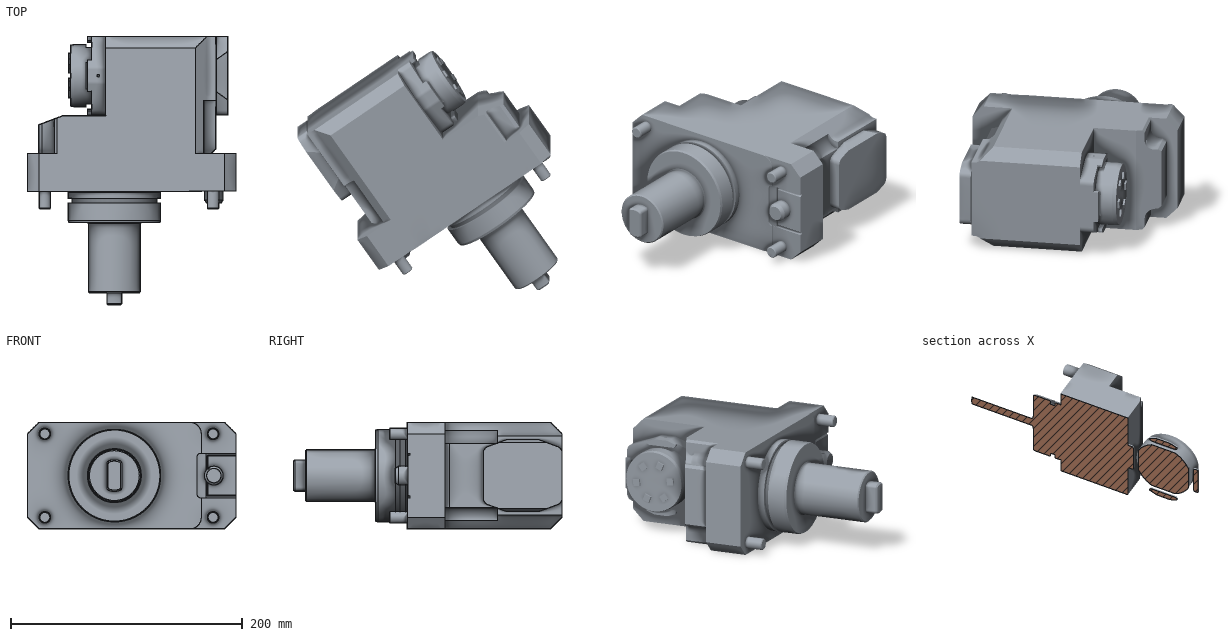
import cadquery as cq
import math


PLATE_LEFT = -75.0
PLATE_RIGHT = 105.0
PLATE_HEIGHT = 92.0
PLATE_THICKNESS = 33.0
PLATE_CORNER = 10.0
HALF_HEIGHT = PLATE_HEIGHT / 2
PAD_RIGHT = 75.0
PAD_CORNER_RADIUS = 10.0
PAD_STEP = 0.5

PIN_DIAMETER = 10.0
PIN_X = (-60.0, 85.2)
PIN_Z = 36.0
PIN_LENGTH = 15.0
PIN_CHAMFER = 0.7

POCKET_LEFT = 79.2
POCKET_HALF_HEIGHT = 19.2
POCKET_DEPTH = 3.0
LEDGE_LEFT = 71.4
LEDGE_DEPTH = 1.0
LEDGE_RADIUS = 3.0
INSERT_GAP = 1.4
INSERT_END_GAP = 0.7
INSERT_CORNER_RADIUS = 1.5
INSERT_CHAMFER = 0.9
PLUG_DIAMETER = 16.2
PLUG_TIP_DIAMETER = 12.4
PLUG_X = 85.8
PLUG_CONE_Y = -7.2
PLUG_END_Y = -10.0
PLUG_SLIT_ANGLE = 125.0
PLUG_SLIT_WIDTH = 1.2
PLUG_SLIT_DEPTH = 0.6

COLLAR_DIAMETER = 80.0
COLLAR_RIM_DIAMETER = 79.6
COLLAR_RIM = 1.0
COLLAR_LENGTH = 26.8
COLLAR_CHAMFER_LENGTH = 2.0
COLLAR_CHAMFER_DEPTH = 0.7
GROOVE_DIAMETER = 73.6
GROOVE_START = 5.8
GROOVE_END = 9.7
SHANK_DIAMETER = 45.0
SHANK_END = 87.3
SHANK_CHAMFER = 1.0
ROOT_DIAMETER = 46.6
ROOT_LENGTH = 0.7

TANG_WIDTH = 13.0
TANG_LENGTH = 27.3
TANG_END = 97.8
TANG_CORNER_RADIUS = 2.8
TANG_CHAMFER = 1.2

HOUSING_BACK = 134.0
HOUSING_LEFT = -7.5
HOUSING_RIGHT = 87.5
HOUSING_CHAMFER = 10.0
SIDE_SLOPE_ANGLE = 45.0
SIDE_SLOPE_START = 70.0
SHELF_Z = 34.0
SHELF_FILLET = 7.0
HEEL_CHAMFER = 3.7
FOOT_LEFT = -65.4
FOOT_TOP = 65.6
FOOT_SLOPE_START = -44.2
FOOT_SLOPE_END = 57.6
FOOT_CORE_HALF = 27.5
FOOT_CORE_BEVEL_X = 3.0
FOOT_CORE_BEVEL_Z = 2.2
CLEARANCE_RADIUS = 8.5
FOOT_TOP_BEVEL = 2.0
CLEARANCE_END = 78.4
SPOT_FACE_DIAMETER = 6.37
SPOT_FACE_Y = 58.0

SPINDLE_Y = 100.0
FLANGE_FACE = -19.6
FLANGE_REACH = HOUSING_BACK - SPINDLE_Y
FLANGE_TOP_HALF = 6.4
FLANGE_TOP_Z = 33.8
FLANGE_CORNER_Z = 23.6
FLANGE_FILLET = 6.0
FLANGE_TOP_FILLET = 5.7
LUG_FACE = -23.3
LUG_COUNT = 4
LUG_HALF_WIDTH = 13.6
SIDE_LUG_INNER = 28.8
TOP_LUG_INNER = 28.2
LUG_CHAMFER = 1.5
NOSE_DIAMETER = 54.0
NOSE_TIP_DIAMETER = 52.6
SLOT_FACE = -24.4
SLOT_FLOOR = 24.5
SLOT_HALF_WIDTH = 13.8
NOSE_TAPER_START = -34.4
NOSE_FACE = -37.8
KEY_COUNT = 6
KEY_SIZE = 6.0
KEY_RADIUS = 16.2
KEY_ANGLE = 8.0
KEY_HEIGHT = 1.6
SET_HOLE_DIAMETER = 2.1
SET_HOLE_X = -13.9
SET_HOLE_DEPTH = 3.0

COVER_NECK = 0.6
COVER_FACE = 98.0
COVER_FACET_INNER_Z = 31.0
COVER_FACET_OUTER_Z = 28.4

FULL_TURN = 360.0
OVERLAP = 1.0


def box(x0, x1, y0, y1, z0, z1):
    return cq.Workplane("XY").box(x1 - x0, y1 - y0, z1 - z0, centered=False).translate((x0, y0, z0))


def section_along_y(y):
    """Sketch plane with local axes X and Z; a negative extrusion runs toward +Y."""
    return cq.Workplane("XZ", origin=(0, y, 0))


def section_along_x(x):
    """Sketch plane centred on the spindle axis with local axes Y and Z."""
    return cq.Workplane("YZ", origin=(x, SPINDLE_Y, 0))


def revolve_about_y(profile):
    """Revolve (radius, y) points about the shank axis."""
    return cq.Workplane("XY").polyline(profile).close().revolve(FULL_TURN, (0, 0, 0), (0, 1, 0))


def make_plate():
    plate = box(PLATE_LEFT, PLATE_RIGHT, 0, PLATE_THICKNESS, -HALF_HEIGHT, HALF_HEIGHT)
    plate = plate.edges("|Y").chamfer(PLATE_CORNER)
    pad = box(PLATE_LEFT, PAD_RIGHT, 0, PAD_STEP, -HALF_HEIGHT, HALF_HEIGHT)
    pad = pad.edges("|Y and >X").fillet(PAD_CORNER_RADIUS)
    relief = box(PLATE_LEFT, PLATE_RIGHT, 0, PAD_STEP, -HALF_HEIGHT, HALF_HEIGHT).cut(pad)
    return plate.cut(relief)


def cut_connection_pocket(body):
    half = POCKET_HALF_HEIGHT
    ledge = box(LEDGE_LEFT, PLATE_RIGHT, 0, LEDGE_DEPTH, -half, half)
    ledge = ledge.edges("|Y and <X").fillet(LEDGE_RADIUS)
    pocket = box(POCKET_LEFT, PLATE_RIGHT, 0, POCKET_DEPTH, -half, half)
    insert_half = half - INSERT_GAP
    insert = box(POCKET_LEFT + INSERT_END_GAP, PLATE_RIGHT, LEDGE_DEPTH, POCKET_DEPTH + OVERLAP,
                 -insert_half, insert_half)
    insert = insert.edges("|Y and <X").fillet(INSERT_CORNER_RADIUS)
    insert = insert.faces("<Y").edges("not >X").chamfer(INSERT_CHAMFER)
    return body.cut(ledge).cut(pocket).union(insert)


def make_plug():
    radius = PLUG_DIAMETER / 2
    tip_radius = PLUG_TIP_DIAMETER / 2
    root = POCKET_DEPTH + OVERLAP
    profile = [(0, root), (radius, root), (radius, PLUG_CONE_Y), (tip_radius, PLUG_END_Y), (0, PLUG_END_Y)]
    slit = (
        section_along_y(0)
        .polarArray(radius, PLUG_SLIT_ANGLE, FULL_TURN, 1)
        .rect(2 * PLUG_SLIT_DEPTH, PLUG_SLIT_WIDTH)
        .extrude(-PLUG_CONE_Y)
    )
    return revolve_about_y(profile).cut(slit).translate((PLUG_X, 0, 0))


def make_pin(x, z):
    pin = section_along_y(-PIN_LENGTH).circle(PIN_DIAMETER / 2).extrude(-PIN_LENGTH - OVERLAP)
    return pin.faces("<Y").chamfer(PIN_CHAMFER).translate((x, 0, z))


def make_shank():
    collar = COLLAR_DIAMETER / 2
    rim = COLLAR_RIM_DIAMETER / 2
    groove = GROOVE_DIAMETER / 2
    shank = SHANK_DIAMETER / 2
    root = ROOT_DIAMETER / 2
    return revolve_about_y([
        (0, OVERLAP),
        (rim, OVERLAP),
        (rim, -COLLAR_RIM),
        (collar, -COLLAR_RIM),
        (collar, -GROOVE_START),
        (groove, -GROOVE_START),
        (groove, -GROOVE_END),
        (collar, -GROOVE_END),
        (collar, -COLLAR_LENGTH + COLLAR_CHAMFER_LENGTH),
        (collar - COLLAR_CHAMFER_DEPTH, -COLLAR_LENGTH),
        (root, -COLLAR_LENGTH),
        (shank, -COLLAR_LENGTH - ROOT_LENGTH),
        (shank, -SHANK_END + SHANK_CHAMFER),
        (shank - SHANK_CHAMFER, -SHANK_END),
        (0, -SHANK_END),
    ])


def make_tang():
    length = TANG_END - SHANK_END + OVERLAP
    half_width = TANG_WIDTH / 2
    round_end = section_along_y(-TANG_END).circle(TANG_LENGTH / 2).extrude(-length)
    flats = box(-half_width, half_width, -TANG_END, -TANG_END + length, -TANG_LENGTH, TANG_LENGTH)
    tang = round_end.intersect(flats).edges("|Y").fillet(TANG_CORNER_RADIUS)
    return tang.faces("<Y").chamfer(TANG_CHAMFER)


def housing_plan():
    """Housing outline seen along Z, extruded over the full height."""
    outline = [
        (FOOT_LEFT, PLATE_THICKNESS - OVERLAP),
        (HOUSING_RIGHT - HEEL_CHAMFER, PLATE_THICKNESS - OVERLAP),
        (HOUSING_RIGHT - HEEL_CHAMFER, PLATE_THICKNESS),
        (HOUSING_RIGHT, PLATE_THICKNESS + HEEL_CHAMFER),
        (HOUSING_RIGHT, HOUSING_BACK),
        (HOUSING_LEFT, HOUSING_BACK),
        (HOUSING_LEFT, FOOT_TOP),
        (FOOT_SLOPE_START, FOOT_TOP),
        (FOOT_LEFT, FOOT_SLOPE_END),
    ]
    plan = cq.Workplane("XY", origin=(0, 0, -HALF_HEIGHT)).polyline(outline).close().extrude(PLATE_HEIGHT)
    return plan.edges("|X and >Y").chamfer(HOUSING_CHAMFER)


def housing_upper_section():
    """Half of the section across Y: side slope and shelf at right, pin clearance at left."""
    turn = math.radians(SIDE_SLOPE_ANGLE)
    slope_end = SIDE_SLOPE_START + (HALF_HEIGHT - SHELF_Z) / math.tan(turn)
    tangent = SHELF_FILLET * math.tan(turn / 2)
    fillet_start = (slope_end - tangent * math.cos(turn), SHELF_Z + tangent * math.sin(turn))
    sag_x = SHELF_FILLET * math.sin(turn / 2)
    sag_z = SHELF_FILLET * (1 - math.cos(turn / 2))
    fillet_end = slope_end + tangent
    wall = PIN_X[0] + CLEARANCE_RADIUS
    arc_step = CLEARANCE_RADIUS * math.sqrt(0.5)
    return (
        section_along_y(0)
        .moveTo(FOOT_LEFT, 0)
        .lineTo(FOOT_LEFT, FOOT_CORE_HALF - FOOT_CORE_BEVEL_Z)
        .lineTo(FOOT_LEFT + FOOT_CORE_BEVEL_X, FOOT_CORE_HALF)
        .lineTo(PIN_X[0], FOOT_CORE_HALF)
        .threePointArc((PIN_X[0] + arc_step, PIN_Z - arc_step), (wall, PIN_Z))
        .lineTo(wall, HALF_HEIGHT - FOOT_TOP_BEVEL)
        .lineTo(wall + FOOT_TOP_BEVEL, HALF_HEIGHT)
        .lineTo(SIDE_SLOPE_START, HALF_HEIGHT)
        .lineTo(*fillet_start)
        .threePointArc((fillet_end - sag_x, SHELF_Z + sag_z), (fillet_end, SHELF_Z))
        .lineTo(HOUSING_RIGHT, SHELF_Z)
        .lineTo(HOUSING_RIGHT, 0)
        .close()
        .extrude(-HOUSING_BACK)
    )


def make_housing():
    upper = housing_upper_section()
    housing = housing_plan().intersect(upper.union(upper.mirror("XY")))
    for z in (-PIN_Z, PIN_Z):
        clearance = section_along_y(PLATE_THICKNESS).center(PIN_X[1], z).circle(CLEARANCE_RADIUS)
        housing = housing.cut(clearance.extrude(PLATE_THICKNESS - CLEARANCE_END))
    spot_face = cq.Workplane("YZ", origin=(PIN_X[0], SPOT_FACE_Y, PIN_Z)).circle(SPOT_FACE_DIAMETER / 2)
    return housing.cut(spot_face.extrude(CLEARANCE_RADIUS))


def make_flange(x0, x1):
    """Eight-sided flange around the spindle axis."""
    outline = [
        (-FLANGE_TOP_HALF, FLANGE_TOP_Z),
        (FLANGE_TOP_HALF, FLANGE_TOP_Z),
        (FLANGE_REACH, FLANGE_CORNER_Z),
        (FLANGE_REACH, -FLANGE_CORNER_Z),
        (FLANGE_TOP_HALF, -FLANGE_TOP_Z),
        (-FLANGE_TOP_HALF, -FLANGE_TOP_Z),
        (-FLANGE_REACH, -FLANGE_CORNER_Z),
        (-FLANGE_REACH, FLANGE_CORNER_Z),
    ]
    flange = section_along_x(x0).polyline(outline).close().extrude(x1 - x0)
    flange = flange.edges("|X and (<Y or >Y)").fillet(FLANGE_FILLET)
    return flange.faces("<Z or >Z").edges("|X").fillet(FLANGE_TOP_FILLET)


def make_front_flange():
    flange = make_flange(FLANGE_FACE, HOUSING_LEFT + OVERLAP)
    set_hole = cq.Workplane("XY", origin=(SET_HOLE_X, SPINDLE_Y, FLANGE_TOP_Z))
    flange = flange.cut(set_hole.circle(SET_HOLE_DIAMETER / 2).extrude(-SET_HOLE_DEPTH))

    depth = FLANGE_FACE - LUG_FACE + OVERLAP
    lug_width = 2 * LUG_HALF_WIDTH
    side_gap = section_along_x(LUG_FACE).rect(2 * SIDE_LUG_INNER, PLATE_HEIGHT).extrude(depth)
    side_band = section_along_x(LUG_FACE).rect(PLATE_HEIGHT, lug_width).extrude(depth)
    side_lugs = side_band.cut(side_gap).edges("|X").chamfer(LUG_CHAMFER)
    top_gap = section_along_x(LUG_FACE).rect(PLATE_HEIGHT, 2 * TOP_LUG_INNER).extrude(depth)
    top_band = section_along_x(LUG_FACE).rect(lug_width, PLATE_HEIGHT).extrude(depth)
    top_lugs = top_band.cut(top_gap).edges("|X").chamfer(LUG_CHAMFER)
    lugs = make_flange(LUG_FACE, LUG_FACE + depth).intersect(side_lugs.union(top_lugs))
    return flange.union(lugs)


def make_nose():
    nose_radius = NOSE_DIAMETER / 2
    tip_radius = NOSE_TIP_DIAMETER / 2
    profile = [
        (FLANGE_FACE + OVERLAP, 0),
        (FLANGE_FACE + OVERLAP, nose_radius),
        (NOSE_TAPER_START, nose_radius),
        (NOSE_FACE, tip_radius),
        (NOSE_FACE, 0),
    ]
    nose = cq.Workplane("XY").polyline(profile).close().revolve(FULL_TURN, (0, 0, 0), (1, 0, 0))
    nose = nose.translate((0, SPINDLE_Y, 0))
    slot_depth = nose_radius - SLOT_FLOOR
    slots = (
        section_along_x(SLOT_FACE)
        .polarArray(SLOT_FLOOR + slot_depth / 2, 0, FULL_TURN, LUG_COUNT)
        .rect(slot_depth, 2 * SLOT_HALF_WIDTH)
        .extrude(FLANGE_FACE - SLOT_FACE)
    )
    nose = nose.cut(slots)
    keys = (
        section_along_x(NOSE_FACE - KEY_HEIGHT)
        .polarArray(KEY_RADIUS, -KEY_ANGLE, FULL_TURN, KEY_COUNT)
        .rect(KEY_SIZE, KEY_SIZE)
        .extrude(KEY_HEIGHT + OVERLAP)
    )
    return nose.union(keys)


def make_cover():
    """Rear cover: the flange shape with its top and bottom planed to slope toward the outer face."""
    inner = HOUSING_RIGHT + COVER_NECK
    slopes = [
        (inner, -COVER_FACET_INNER_Z),
        (COVER_FACE, -COVER_FACET_OUTER_Z),
        (COVER_FACE, COVER_FACET_OUTER_Z),
        (inner, COVER_FACET_INNER_Z),
    ]
    envelope = section_along_y(0).polyline(slopes).close().extrude(-HOUSING_BACK)
    cover = make_flange(inner, COVER_FACE).intersect(envelope)
    neck = section_along_x(HOUSING_RIGHT - OVERLAP).circle(NOSE_DIAMETER / 2)
    return cover.union(neck.extrude(COVER_NECK + 2 * OVERLAP))


result = cut_connection_pocket(make_plate())
result = result.union(make_plug())
for pin_x in PIN_X:
    for pin_z in (-PIN_Z, PIN_Z):
        result = result.union(make_pin(pin_x, pin_z))
for make_component in (make_shank, make_tang, make_housing, make_front_flange, make_nose, make_cover):
    result = result.union(make_component())